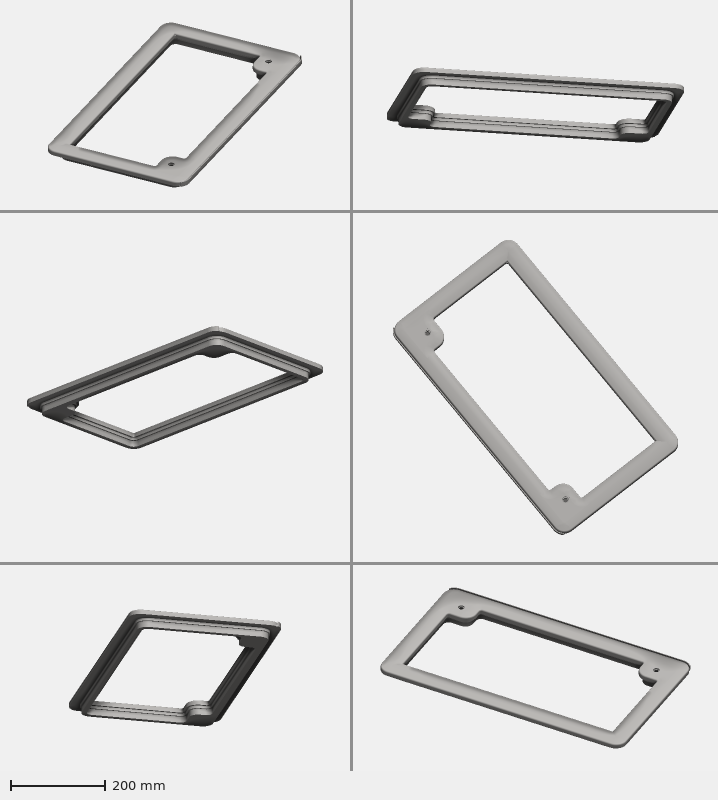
import cadquery as cq
import math

LENGTH_Y = 588.0
WIDTH_X = 331.5
HEIGHT = 32.0

LIP_THICKNESS = 2.0
LIP_GAP = 2.0
LIP_ROOT = 3.0
LIP_END_GAP = 4.0

RIM_BOTTOM = 19.5
BAND_WIDTH = 42.0
CROWN_RISE = 1.45
EDGE_FILLET = 3.5
CORNER_RADIUS = 25.0
OPENING_CORNER_RADIUS = 4.5

FLANGE_BOTTOM = 13.5
SKIRT_INSET = 22.5
SKIRT_CORNER_RADIUS = 22.5
FLANGE_STEP = 3.5
SKIRT_RECESS = 8.0

TAB_REACH_X = 43.0
TAB_REACH_Y = 55.0
TAB_CORNER_RADIUS = 26.5
TAB_BLEND_RADIUS = 4.5

SCREW_FROM_RIGHT = 59.5
SCREW_FROM_END = 59.5
SCREW_RADIUS = 10.5
SCREW_DEPTH = 17.5
SOCKET_RADIUS = 5.0
SOCKET_DEPTH = 6.0
HEAD_RECESS_RADIUS = 7.0
HEAD_RECESS_DEPTH = 3.0

LEFT = -WIDTH_X / 2
RIGHT = WIDTH_X / 2 - LIP_THICKNESS - LIP_GAP
END = LENGTH_Y / 2
OPEN_LEFT = LEFT + BAND_WIDTH
OPEN_RIGHT = RIGHT - BAND_WIDTH
OPEN_END = END - BAND_WIDTH
CREST = BAND_WIDTH / 2
SHOULDER = HEIGHT - CROWN_RISE
FILLET_BOTTOM = SHOULDER - EDGE_FILLET
FILLET_MID = EDGE_FILLET * (1 - math.sqrt(0.5))
FLANGE_RECESS = SKIRT_RECESS - FLANGE_STEP
TAB_EDGE_X = OPEN_RIGHT - TAB_REACH_X
TAB_EDGE_Y = OPEN_END - TAB_REACH_Y
PAD_LEFT = TAB_EDGE_X - TAB_BLEND_RADIUS
PAD_BOTTOM = TAB_EDGE_Y - TAB_BLEND_RADIUS
SCREW_X = WIDTH_X / 2 - SCREW_FROM_RIGHT
SCREW_Y = END - SCREW_FROM_END


def crown_height(distance):
    """Height of the crown arc at a distance from the band edge."""
    half_chord = CREST - EDGE_FILLET
    radius = (half_chord**2 + CROWN_RISE**2) / (2 * CROWN_RISE)
    return HEIGHT - radius + math.sqrt(radius**2 - (distance - CREST) ** 2)


def partial_profile(plane, width):
    """Band section from its edge (local x = 0) to the given width."""
    middle = (EDGE_FILLET + width) / 2
    return (
        cq.Workplane(plane)
        .moveTo(0, RIM_BOTTOM)
        .lineTo(0, FILLET_BOTTOM)
        .threePointArc((FILLET_MID, SHOULDER - FILLET_MID), (EDGE_FILLET, SHOULDER))
        .threePointArc((middle, crown_height(middle)), (width, crown_height(width)))
        .lineTo(width, RIM_BOTTOM)
        .close()
    )


def full_profile(plane):
    """Whole band section, filleted at both edges."""
    return (
        cq.Workplane(plane)
        .moveTo(0, RIM_BOTTOM)
        .lineTo(0, FILLET_BOTTOM)
        .threePointArc((FILLET_MID, SHOULDER - FILLET_MID), (EDGE_FILLET, SHOULDER))
        .threePointArc((CREST, HEIGHT), (BAND_WIDTH - EDGE_FILLET, SHOULDER))
        .threePointArc((BAND_WIDTH - FILLET_MID, SHOULDER - FILLET_MID), (BAND_WIDTH, FILLET_BOTTOM))
        .lineTo(BAND_WIDTH, RIM_BOTTOM)
        .close()
    )


def band(start, end):
    """Mitred straight band whose outer edge runs from start to end, with the opening on its left."""
    run = cq.Vector(end[0] - start[0], end[1] - start[1], 0)
    direction = run.normalized()
    inward = cq.Vector(-direction.y, direction.x, 0)
    bar = full_profile(cq.Plane((*start, 0), inward, direction)).extrude(run.Length)
    mitre = (
        cq.Workplane(cq.Plane((*start, 0), direction, (0, 0, 1)))
        .polyline([(0, 0), (run.Length, 0), (run.Length - BAND_WIDTH, BAND_WIDTH), (BAND_WIDTH, BAND_WIDTH)])
        .close()
        .extrude(HEIGHT)
    )
    return bar.intersect(mitre)


def corner_turn(center, angle):
    """Quarter turn of the band section, closing an outer corner."""
    outward = cq.Vector(math.cos(math.radians(angle)), math.sin(math.radians(angle)), 0)
    start = cq.Vector(*center, 0) + outward * CORNER_RADIUS
    plane = cq.Plane(start, outward * -1, cq.Vector(-outward.y, outward.x, 0))
    return partial_profile(plane, CORNER_RADIUS).revolve(90, (CORNER_RADIUS, 0), (CORNER_RADIUS, 1))


def rim():
    """Four mitred bands with rounded outer corners."""
    corners = [(LEFT, -END), (RIGHT, -END), (RIGHT, END), (LEFT, END)]
    body = cq.Workplane()
    for i in range(4):
        body = body.union(band(corners[i], corners[(i + 1) % 4]))
    for i, (x, y) in enumerate(corners):
        center = (x - math.copysign(CORNER_RADIUS, x), y - math.copysign(CORNER_RADIUS, y))
        block = (
            cq.Workplane()
            .box(CORNER_RADIUS, CORNER_RADIUS, HEIGHT, centered=(True, True, False))
            .translate(((x + center[0]) / 2, (y + center[1]) / 2, 0))
        )
        body = body.cut(block).union(corner_turn(center, 180 + 90 * i))
    return body


def tab_edge(sketch, inset):
    """Continue a sketch along the edge of the +Y tab, moved into the material by an inset."""
    left = TAB_EDGE_X + inset
    bottom = TAB_EDGE_Y + inset
    blend = TAB_BLEND_RADIUS + inset
    turn = TAB_CORNER_RADIUS - inset
    return (
        sketch.radiusArc((left, OPEN_END - TAB_BLEND_RADIUS), blend)
        .lineTo(left, bottom + turn)
        .radiusArc((left + turn, bottom), -turn)
        .lineTo(OPEN_RIGHT - TAB_BLEND_RADIUS, bottom)
        .radiusArc((OPEN_RIGHT + inset, PAD_BOTTOM), blend)
    )


def opening_corner():
    """Web that rounds the sharp -X, +Y corner of the opening."""
    center_x = OPEN_LEFT + OPENING_CORNER_RADIUS
    center_y = OPEN_END - OPENING_CORNER_RADIUS
    return (
        cq.Workplane(origin=(0, 0, RIM_BOTTOM))
        .moveTo(OPEN_LEFT, center_y)
        .lineTo(OPEN_LEFT, OPEN_END)
        .lineTo(center_x, OPEN_END)
        .radiusArc((OPEN_LEFT, center_y), -OPENING_CORNER_RADIUS)
        .close()
        .extrude(FILLET_BOTTOM - RIM_BOTTOM)
    )


def both_ends(body):
    """The body together with its mirror image at the -Y end."""
    return body.union(body.mirror("XZ"))


def opening(inset):
    """Full-height block filling the opening, grown into the material by an inset."""
    left = OPEN_LEFT - inset
    end = OPEN_END + inset
    radius = OPENING_CORNER_RADIUS + inset
    sketch = (
        cq.Workplane()
        .moveTo(left, 0)
        .lineTo(left, end - radius)
        .radiusArc((left + radius, end), radius)
        .lineTo(PAD_LEFT, end)
    )
    half = tab_edge(sketch, inset).lineTo(OPEN_RIGHT + inset, 0).close().extrude(HEIGHT)
    return both_ends(half)


def tabs():
    """Corner tabs: a flat pad at crown height, bordered by half of the band section."""
    path = tab_edge(cq.Workplane().moveTo(PAD_LEFT, OPEN_END), 0)
    profile = partial_profile(cq.Plane((PAD_LEFT, OPEN_END, 0), (0, 1, 0), (1, 0, 0)), CREST)
    border = profile.sweep(path)
    pad = (
        cq.Workplane(origin=(0, 0, RIM_BOTTOM))
        .moveTo(PAD_LEFT, PAD_BOTTOM)
        .lineTo(RIGHT - CREST, PAD_BOTTOM)
        .lineTo(RIGHT - CREST, END - CORNER_RADIUS)
        .radiusArc((RIGHT - CORNER_RADIUS, END - CREST), -(CORNER_RADIUS - CREST))
        .lineTo(PAD_LEFT, END - CREST)
        .close()
        .extrude(HEIGHT - RIM_BOTTOM)
        .cut(opening(CREST))
    )
    return both_ends(pad.union(border))


def tier(outset, recess, bottom):
    """Ring below the rim, outset from the skirt outline and recessed behind the opening."""
    inset = SKIRT_INSET - outset
    return (
        cq.Workplane(origin=(0, 0, bottom))
        .rect(WIDTH_X - 2 * inset, LENGTH_Y - 2 * inset)
        .extrude(RIM_BOTTOM - bottom)
        .edges("|Z")
        .fillet(SKIRT_CORNER_RADIUS + outset)
        .cut(opening(recess))
    )


def rim_plate(margin):
    """Plate at rim height with the rim outline grown by a margin."""
    return (
        cq.Workplane(origin=((LEFT + RIGHT) / 2, 0, RIM_BOTTOM))
        .rect(RIGHT - LEFT + 2 * margin, LENGTH_Y + 2 * margin)
        .extrude(SHOULDER - RIM_BOTTOM)
        .edges("|Z")
        .fillet(CORNER_RADIUS + margin)
    )


def lip():
    """Thin strip around the +X edge and part of both corners, joined to the rim by a low root."""
    reach = CORNER_RADIUS + LIP_GAP + LIP_THICKNESS
    keep = (
        cq.Workplane(origin=(RIGHT - CORNER_RADIUS, 0, 0))
        .box(reach, LENGTH_Y - 2 * LIP_END_GAP, HEIGHT, centered=(False, True, False))
    )
    shell = rim_plate(LIP_GAP + LIP_THICKNESS).cut(rim_plate(0))
    groove = rim_plate(LIP_GAP).translate((0, 0, LIP_ROOT))
    return shell.cut(groove).intersect(keep)


def screw_blank(y):
    """Cylinder that fills a screw hole."""
    return cq.Workplane(origin=(SCREW_X, y, HEIGHT - SCREW_DEPTH)).circle(SCREW_RADIUS).extrude(SCREW_DEPTH)


def frame():
    """Rim, tabs, lower tiers and lip as one body with two screw holes."""
    body = rim().union(tabs()).union(both_ends(opening_corner()))
    body = body.union(tier(FLANGE_STEP, FLANGE_RECESS, FLANGE_BOTTOM))
    body = body.union(tier(0, SKIRT_RECESS, 0))
    body = body.union(lip())
    for y in (-SCREW_Y, SCREW_Y):
        body = body.cut(screw_blank(y))
    return body


def screw(y):
    """Screw with a round recess in its flush head and a hexagonal socket below it."""
    top = cq.Workplane(origin=(SCREW_X, y, HEIGHT))
    recess = top.circle(HEAD_RECESS_RADIUS).extrude(-HEAD_RECESS_DEPTH)
    socket = top.polygon(6, 2 * SOCKET_RADIUS).extrude(-HEAD_RECESS_DEPTH - SOCKET_DEPTH)
    return screw_blank(y).cut(recess).cut(socket)


screws = [screw(y).val() for y in (-SCREW_Y, SCREW_Y)]
result = cq.Compound.makeCompound([frame().val(), *screws])